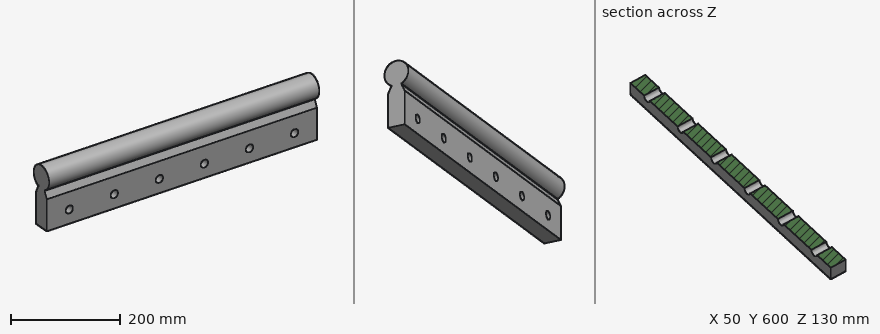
import cadquery as cq

length = 600.0
height = 130.0
rod_diameter = 50.0

web_width = 35.0
neck_width = 21.0
shoulder_height = 67.0
neck_height = 81.5

hole_count = 6
hole_diameter = 16.0
hole_height = 30.0
hole_pitch = length / hole_count

rod_center_height = height - rod_diameter / 2


def make_rod():
    """Round rod along Y, topping out at the full height."""
    return (
        cq.Workplane("XZ")
        .center(0, rod_center_height)
        .circle(rod_diameter / 2)
        .extrude(length / 2, both=True)
    )


def make_web():
    """Flat web with sloped shoulders narrowing to a neck inside the rod."""
    return (
        cq.Workplane("XZ")
        .moveTo(-web_width / 2, 0)
        .lineTo(web_width / 2, 0)
        .lineTo(web_width / 2, shoulder_height)
        .lineTo(neck_width / 2, neck_height)
        .lineTo(neck_width / 2, rod_center_height)
        .lineTo(-neck_width / 2, rod_center_height)
        .lineTo(-neck_width / 2, neck_height)
        .lineTo(-web_width / 2, shoulder_height)
        .close()
        .extrude(length / 2, both=True)
    )


def make_cross_holes():
    """Evenly pitched cylinders along X, centered on the rail length."""
    return (
        cq.Workplane("YZ")
        .center(0, hole_height)
        .rarray(hole_pitch, 6, hole_count, 1)
        .circle(hole_diameter / 2)
        .extrude(web_width, both=True)
    )


result = make_rod().union(make_web()).cut(make_cross_holes())